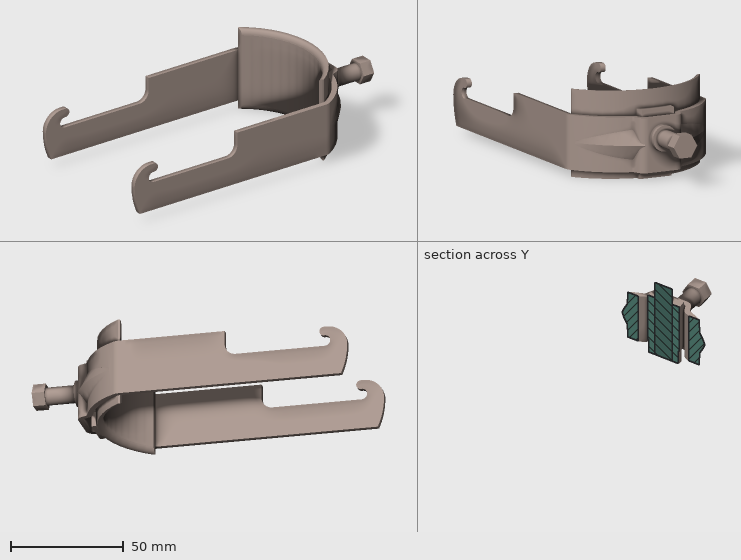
import cadquery as cq
import math


strap_width = 70.0
strap_thickness = 2.5
strap_height = 25.0
strap_bottom = -16.2
strap_middle = strap_bottom + strap_height / 2
crown_top = 25.4
flat_half_width = 7.0
shoulder_bend = 1.5 + strap_thickness / 2
leg_bend = 2.5 + strap_thickness / 2
crown_radius = 40.0 - strap_thickness / 2
lower_shoulder_x = -13.0

leg_end = -104.5
step_y = -48.5
step_fillet = 5.0
slot_height = 13.7
throat_radius = 2.5
throat_y = -94.25
tip_y = -93.8
hook_radius = 9.1
toe_y = -101.65

bead_start = (-34.3, 2.4)
bead_end = (-8.6, crown_top)
bead_sagitta = 2.8
bead_slope = 0.385
bead_stations = 6
bead_tip_step = 0.04

bolt_z = -0.75
bolt_diameter = 8.0
bolt_end = 21.4
head_top = 47.0
head_height = 5.7
head_corners = 11.85
collar_diameter = 11.8
collar_top = 27.8
collar_fillet = 0.5

saddle_height = 40.0
saddle_width = 64.5
saddle_thickness = 2.8
saddle_outer_radius = 39.8
saddle_apex = 17.3
saddle_edge_fillet = 2.65
radius_tolerance = 0.01

block_half_height = 12.35
block_top_half_width = 8.0
block_base_half_width = 8.6
block_base = 17.0
tongue_top = 19.2


def polar(centre, radius, angle):
    """Point at the given radius and angle from a centre."""
    return (centre[0] + radius * math.cos(angle), centre[1] + radius * math.sin(angle))


leg_bend_centre = (-strap_width / 2 + strap_thickness / 2 + leg_bend, 0.0)
crown_centre = (0.0, -math.sqrt((crown_radius - leg_bend) ** 2 - leg_bend_centre[0] ** 2))
upper_shoulder = (-flat_half_width, crown_top - strap_thickness / 2 - shoulder_bend)
lower_shoulder = (
    lower_shoulder_x,
    crown_centre[1] + math.sqrt((crown_radius + shoulder_bend) ** 2 - lower_shoulder_x**2),
)

leg_angle = math.atan2(leg_bend_centre[1] - crown_centre[1], leg_bend_centre[0])
crown_angle = math.atan2(lower_shoulder[1] - crown_centre[1], lower_shoulder_x)
shoulder_gap = math.dist(upper_shoulder, lower_shoulder)
shoulder_rise = lower_shoulder[1] - upper_shoulder[1]
shoulder_line = math.atan2(shoulder_rise, lower_shoulder_x + flat_half_width)
shoulder_line %= 2 * math.pi
shoulder_angle = shoulder_line - math.acos(2 * shoulder_bend / shoulder_gap)


def crown_face(offset):
    """Points of the left half of a strap face, offset outward from the mid-surface.

    They alternate between the ends and the middles of four arcs, with the
    straight run between the two shoulder bends after the third arc.
    """
    leg_r = leg_bend + offset
    crown_r = crown_radius + offset
    lower_r = shoulder_bend - offset
    upper_r = shoulder_bend + offset
    opposite = math.pi
    return [
        polar(leg_bend_centre, leg_r, math.pi),
        polar(leg_bend_centre, leg_r, (math.pi + leg_angle) / 2),
        polar(crown_centre, crown_r, leg_angle),
        polar(crown_centre, crown_r, (leg_angle + crown_angle) / 2),
        polar(crown_centre, crown_r, crown_angle),
        polar(lower_shoulder, lower_r, (crown_angle + shoulder_angle) / 2 + opposite),
        polar(lower_shoulder, lower_r, shoulder_angle + opposite),
        polar(upper_shoulder, upper_r, shoulder_angle),
        polar(upper_shoulder, upper_r, (shoulder_angle + math.pi / 2) / 2),
        polar(upper_shoulder, upper_r, math.pi / 2),
    ]


def trace_up(sketch, p):
    """Draw a strap face from the leg to the flat, starting at its first point."""
    return (
        sketch.threePointArc(p[1], p[2])
        .threePointArc(p[3], p[4])
        .threePointArc(p[5], p[6])
        .lineTo(*p[7])
        .threePointArc(p[8], p[9])
    )


def trace_down(sketch, p):
    """Draw a strap face from the flat to the leg, starting at its last point."""
    return (
        sketch.threePointArc(p[8], p[7])
        .lineTo(*p[6])
        .threePointArc(p[5], p[4])
        .threePointArc(p[3], p[2])
        .threePointArc(p[1], p[0])
    )


def make_half_crown():
    outer = crown_face(strap_thickness / 2)
    inner = crown_face(-strap_thickness / 2)
    sketch = cq.Workplane("XY", origin=(0, 0, strap_bottom)).moveTo(*outer[0])
    sketch = trace_up(sketch, outer).lineTo(*inner[-1])
    return trace_down(sketch, inner).close().extrude(strap_height)


def bead_section(apex):
    """House-shaped section through the ridge point, in the plane through the crown's axis.

    Its sides reach through the strap, and its eaves lie on the outer face of the crown arc.
    """
    angle = math.atan2(apex[1] - crown_centre[1], apex[0] - crown_centre[0])
    eave = polar(crown_centre, crown_radius + strap_thickness / 2, angle)
    foot = polar(crown_centre, crown_radius - strap_thickness / 2, angle)
    half_width = bead_slope * (eave[1] - bead_start[1])
    corners = [
        cq.Vector(*foot, strap_middle - half_width),
        cq.Vector(*eave, strap_middle - half_width),
        cq.Vector(*apex, strap_middle),
        cq.Vector(*eave, strap_middle + half_width),
        cq.Vector(*foot, strap_middle + half_width),
    ]
    return cq.Wire.makePolygon(corners, close=True)


def make_bead():
    """Gabled bead along an arched ridge, widening from its tip to the shoulder.

    Only the part outside the strap's mid-surface is kept.
    """
    chord = math.dist(bead_start, bead_end)
    ridge_radius = chord**2 / (8 * bead_sagitta) + bead_sagitta / 2
    normal = math.atan2(bead_end[1] - bead_start[1], bead_end[0] - bead_start[0]) + math.pi / 2
    mid = ((bead_start[0] + bead_end[0]) / 2, (bead_start[1] + bead_end[1]) / 2)
    centre = polar(mid, ridge_radius - bead_sagitta, normal + math.pi)
    half_sweep = math.asin(chord / (2 * ridge_radius))
    sections = []
    for station in range(1, bead_stations + 1):
        along = max(station - 1, bead_tip_step) / (bead_stations - 1)
        apex = polar(centre, ridge_radius, normal + half_sweep * (1 - 2 * along))
        sections.append(bead_section(apex))
    gable = cq.Workplane(cq.Solid.makeLoft(sections))

    face = crown_face(0)
    zone = cq.Workplane("XY", origin=(0, 0, strap_bottom)).moveTo(*face[0])
    zone = trace_up(zone, face).lineTo(face[-1][0], crown_top).lineTo(face[0][0], crown_top)
    zone = zone.close().extrude(strap_height)
    return zone.intersect(gable)


def make_leg():
    """Left leg, a flat plate with a stepped upper edge and a hook at its end."""
    hook_y = leg_end + hook_radius
    hook_top = slot_height + hook_radius
    throat_top = slot_height + 2 * throat_radius
    tip_radius = (hook_top - throat_top) / 2
    toe_inset = toe_y - leg_end
    toe_radius = (toe_inset**2 + slot_height**2) / (2 * toe_inset)
    toe_centre = (leg_end + toe_radius, slot_height)
    toe_angle = math.pi + math.asin(slot_height / toe_radius)
    outline = (
        cq.Workplane("YZ", origin=(-strap_width / 2, 0, strap_bottom))
        .moveTo(0, 0)
        .lineTo(0, strap_height)
        .lineTo(step_y, strap_height)
        .lineTo(step_y, slot_height + step_fillet)
        .radiusArc((step_y - step_fillet, slot_height), step_fillet)
        .lineTo(throat_y, slot_height)
        .threePointArc(
            (throat_y - throat_radius, slot_height + throat_radius), (throat_y, throat_top)
        )
        .lineTo(tip_y, throat_top)
        .threePointArc((tip_y + tip_radius, throat_top + tip_radius), (tip_y, hook_top))
        .lineTo(hook_y, hook_top)
        .threePointArc(
            polar((hook_y, slot_height), hook_radius, math.radians(135)), (leg_end, slot_height)
        )
        .threePointArc(polar(toe_centre, toe_radius, (math.pi + toe_angle) / 2), (toe_y, 0))
        .close()
    )
    return outline.extrude(strap_thickness)


def bolt_axis_plane(y):
    """Workplane across the bolt axis at the given Y, facing +Y."""
    return cq.Workplane(cq.Plane(origin=(0, y, bolt_z), xDir=(1, 0, 0), normal=(0, 1, 0)))


def make_strap():
    half = make_half_crown().union(make_bead()).union(make_leg())
    flat = (
        cq.Workplane("XY", origin=(0, crown_top - strap_thickness / 2, strap_bottom))
        .rect(2 * flat_half_width, strap_thickness)
        .extrude(strap_height)
    )
    collar = bolt_axis_plane(crown_top).circle(collar_diameter / 2).extrude(collar_top - crown_top)
    at_root = cq.selectors.BoxSelector(
        (-collar_diameter, crown_top - collar_fillet, bolt_z - collar_diameter),
        (collar_diameter, crown_top + collar_fillet, bolt_z + collar_diameter),
        boundingbox=True,
    )
    flat = flat.union(collar).edges("%CIRCLE").edges(at_root).fillet(collar_fillet)
    bore = bolt_axis_plane(bolt_end).circle(bolt_diameter / 2).extrude(collar_top - bolt_end)
    return flat.union(half).union(half.mirror("YZ")).cut(bore)


def make_bolt():
    head_base = head_top - head_height
    shank = bolt_axis_plane(bolt_end).circle(bolt_diameter / 2).extrude(head_base - bolt_end)
    head = bolt_axis_plane(head_base).polygon(6, head_corners).extrude(head_height)
    return shank.union(head)


def saddle_cylinder(radius):
    """Cylinder on the saddle's axis, as tall as the saddle."""
    axis_y = saddle_apex - saddle_outer_radius
    return (
        cq.Workplane("XY", origin=(0, axis_y, -saddle_height / 2))
        .circle(radius)
        .extrude(saddle_height)
    )


def make_saddle():
    """Curved plate with rounded inner rims."""
    inner_radius = saddle_outer_radius - saddle_thickness
    arc_space = (
        cq.Workplane("XY")
        .box(saddle_width, saddle_apex, saddle_height)
        .translate((0, saddle_apex / 2, 0))
    )
    plate = saddle_cylinder(saddle_outer_radius).cut(saddle_cylinder(inner_radius))
    plate = plate.intersect(arc_space)
    inner_rims = plate.edges("%CIRCLE").filter(lambda e: abs(e.radius() - inner_radius) < radius_tolerance)
    plate = inner_rims.fillet(saddle_edge_fillet)
    return plate


def make_block():
    """Tapered block under the bolt with a thinner tongue down to the saddle's lower rim."""
    block_bottom = bolt_z - block_half_height
    block = (
        cq.Workplane("XY", origin=(0, 0, block_bottom))
        .moveTo(-block_base_half_width, block_base)
        .lineTo(block_base_half_width, block_base)
        .lineTo(block_top_half_width, bolt_end)
        .lineTo(-block_top_half_width, bolt_end)
        .close()
        .extrude(2 * block_half_height)
    )
    tongue = (
        cq.Workplane("XY", origin=(0, (block_base + tongue_top) / 2, -saddle_height / 2))
        .rect(2 * block_top_half_width, tongue_top - block_base)
        .extrude(saddle_height / 2 + block_bottom)
    )
    return block.union(tongue).cut(saddle_cylinder(saddle_outer_radius))


strap = make_strap()
saddle = make_saddle()
bolt = make_bolt()
block = make_block()

result = cq.Compound.makeCompound([body.solids().val() for body in (strap, saddle, bolt, block)])